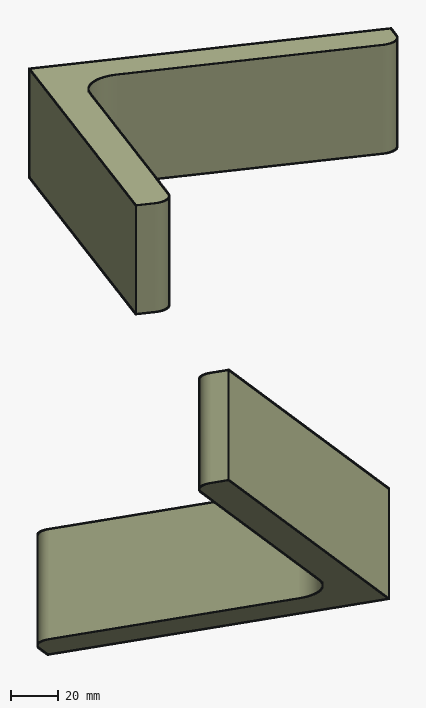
import cadquery as cq

leg_length = 160.0
leg_thickness = 17.0
height = 50.0
root_radius = leg_thickness
toe_radius = root_radius / 2

angle = (
    cq.Workplane("XY")
    .polyline([
        (0, 0),
        (leg_length, 0),
        (leg_length, leg_thickness),
        (leg_thickness, leg_thickness),
        (leg_thickness, leg_length),
        (0, leg_length),
    ])
    .close()
    .extrude(height)
)


def round_upright_edge(body, x, y, radius):
    """Round the vertical edge that passes through (x, y)."""
    edge = cq.selectors.NearestToPointSelector((x, y, height / 2))
    return body.edges("|Z").edges(edge).fillet(radius)


angle = round_upright_edge(angle, leg_thickness, leg_thickness, root_radius)
angle = round_upright_edge(angle, leg_length, leg_thickness, toe_radius)
angle = round_upright_edge(angle, leg_thickness, leg_length, toe_radius)

result = angle